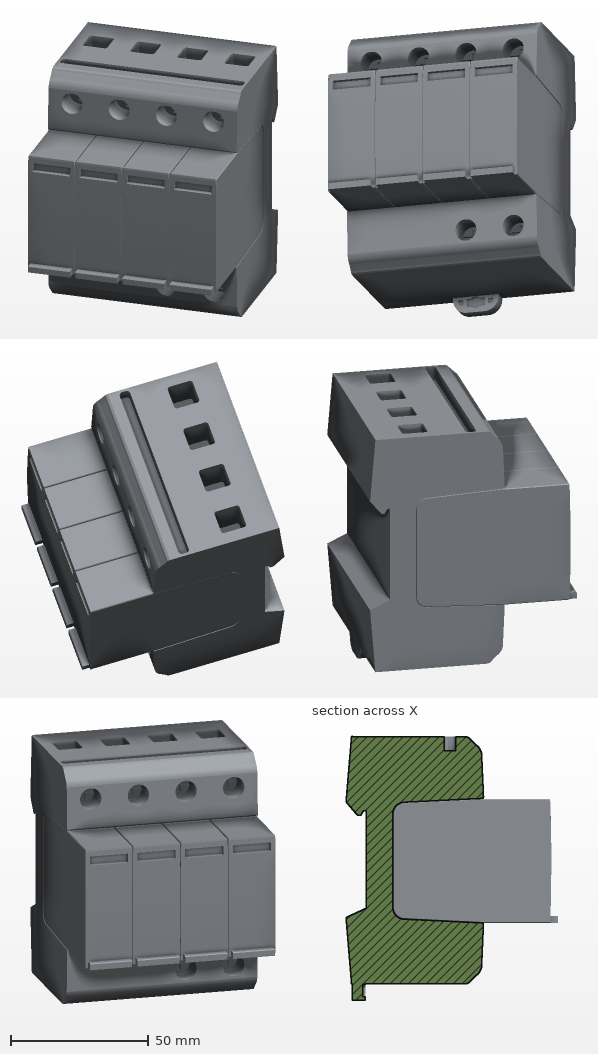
import cadquery as cq
import math


MODULE_COUNT = 4
MODULE_PITCH = 18.0
WIDTH = MODULE_COUNT * MODULE_PITCH
HALF_HEIGHT = 45.0
TOTAL_DEPTH = 77.28

REAR_LIP_HEIGHT = 0.13
REAR_LIP_WIDTH = 0.4
REAR_TOP_DEPTH = 2.0
RAIL_DEPTH = 7.4
HOOK_SHOULDER_Z = 21.3
HOOK_TIP_DEPTH = 4.3
HOOK_TIP_WIDTH = 1.1
HOOK_TIP_Z = 16.2
RAIL_TOP_Z = 18.0
RAIL_BOTTOM_Z = -17.4
FOOT_SHOULDER_Z = -20.8
EASE_START_DEPTH = 43.9
EASE_MID_DEPTH = 44.8
EASE_MID_DROP = 0.35
EASE_END_DEPTH = 45.3
EASE_DROP = 0.95
BEVEL_END_DEPTH = 47.35
BEVEL_DROP = 2.95
ROUND_END_DEPTH = 49.5
ROUND_DROP = 6.2
ROUND_TURN_ANGLE = 45.0
FRONT_DEPTH = 50.2
MOUTH_ROUND = 0.6

RECESS_MID_Z = -0.15
MOUTH_HALF_HEIGHT = 22.6
MODULE_REAR_DEPTH = 17.2
MODULE_REAR_HALF_HEIGHT = 21.0
MODULE_REAR_RADIUS = 4.2
MODULE_TOP_Z = 22.25
MODULE_GAP = 0.2
MODULE_BROW_HEIGHT = 0.7
MODULE_BROW_DEPTH = 0.12
MODULE_CORNER_DEPTH = 74.4
MODULE_FRONT_BULGE = 0.4
MODULE_EDGE_CHAMFER = 0.3
MOUTH_TOP_Z = RECESS_MID_Z + MOUTH_HALF_HEIGHT
MOUTH_BOTTOM_Z = RECESS_MID_Z - MOUTH_HALF_HEIGHT
WINDOW_WIDTH = 14.4
WINDOW_HEIGHT = 3.4
WINDOW_Z = 17.85
WINDOW_DEPTH = 1.8
GRIP_WIDTH = 15.9
GRIP_HEIGHT = 2.5
GRIP_CHAMFER = 0.3
GRIP_ROOT = 2.5

SCREW_HOLE_DIAMETER = 8.0
SCREW_HOLE_DEPTH = 10.0
SCREW_Z = 33.8
SCREW_SLOT_WIDTH = 1.0
SCREW_SLOT_HEIGHT = 5.6
SCREW_SLOT_DEPTH = 1.0
LOWER_TERMINAL_COUNT = 2
WIRE_HOLE_WIDTH = 9.3
WIRE_HOLE_LENGTH = 9.6
WIRE_HOLE_RADIUS = 1.0
WIRE_HOLE_MID_DEPTH = 17.8
WIRE_HOLE_DEPTH = 14.0

TOP_SLOT_LENGTH = 70.0
TOP_SLOT_WIDTH = 4.0
TOP_SLOT_RADIUS = 1.3
TOP_SLOT_MID_DEPTH = 38.0
TOP_SLOT_DEPTH = 5.0

TAB_WIDTH = 17.2
TAB_HEIGHT = 6.1
TAB_RADIUS = 5.2
TAB_REAR_DEPTH = 2.3
TAB_THICKNESS = 4.9
TAB_RECESS_DEPTH = 1.0
TAB_HOLE_Z = -47.4
TAB_HOLE_WIDTH = 7.0
TAB_HOLE_HEIGHT = 3.1
TAB_HOLE_RADIUS = 0.6
TAB_HOLE_ROUND_DIAMETER = 4.4
TAB_SECTOR_RADIUS = 2.1
TAB_SECTOR_FILLET = 0.4
TAB_SECTOR_CORNER_X = 4.7
TAB_SECTOR_CORNER_Z = -46.2

module_centres = [(i - (MODULE_COUNT - 1) / 2) * MODULE_PITCH for i in range(MODULE_COUNT)]


def side_point(depth, z):
    """Point of a YZ sketch, given as depth from the rear and height."""
    return (-depth, z)


def box_at(x, depth, z, width, length, height):
    """Box centred on x and z that starts at the given depth and runs forward by length."""
    return cq.Workplane("XY").box(width, length, height).translate((x, -depth - length / 2, z))


def front_round_mid(sign):
    """Middle point of the round between the bevel and the front face."""
    start = (BEVEL_END_DEPTH, HALF_HEIGHT - BEVEL_DROP)
    end = (ROUND_END_DEPTH, HALF_HEIGHT - ROUND_DROP)
    chord = (end[0] - start[0], end[1] - start[1])
    sagitta_ratio = math.tan(math.radians(ROUND_TURN_ANGLE) / 4) / 2
    mid_depth = (start[0] + end[0]) / 2 - chord[1] * sagitta_ratio
    mid_z = (start[1] + end[1]) / 2 + chord[0] * sagitta_ratio
    return side_point(mid_depth, sign * mid_z)


def make_housing():
    top = HALF_HEIGHT
    mouth_z = MOUTH_TOP_Z + MOUTH_ROUND
    mouth_depth = FRONT_DEPTH - MOUTH_ROUND
    arc_inset = MOUTH_ROUND * (1 - math.sqrt(0.5))
    mouth_mid_depth = FRONT_DEPTH - arc_inset
    mouth_mid_z = MOUTH_TOP_Z + arc_inset
    profile = (
        cq.Workplane("YZ")
        .moveTo(*side_point(REAR_TOP_DEPTH, top + REAR_LIP_HEIGHT))
        .lineTo(*side_point(REAR_TOP_DEPTH + REAR_LIP_WIDTH, top + REAR_LIP_HEIGHT))
        .lineTo(*side_point(REAR_TOP_DEPTH + REAR_LIP_WIDTH, top))
        .lineTo(*side_point(EASE_START_DEPTH, top))
        .lineTo(*side_point(EASE_MID_DEPTH, top - EASE_MID_DROP))
        .lineTo(*side_point(EASE_END_DEPTH, top - EASE_DROP))
        .lineTo(*side_point(BEVEL_END_DEPTH, top - BEVEL_DROP))
        .threePointArc(front_round_mid(1), side_point(ROUND_END_DEPTH, top - ROUND_DROP))
        .lineTo(*side_point(FRONT_DEPTH, mouth_z))
        .threePointArc(side_point(mouth_mid_depth, mouth_mid_z), side_point(mouth_depth, MOUTH_TOP_Z))
        .lineTo(*side_point(mouth_depth, MOUTH_BOTTOM_Z))
        .lineTo(*side_point(FRONT_DEPTH, MOUTH_BOTTOM_Z))
        .lineTo(*side_point(ROUND_END_DEPTH, ROUND_DROP - top))
        .threePointArc(front_round_mid(-1), side_point(BEVEL_END_DEPTH, BEVEL_DROP - top))
        .lineTo(*side_point(EASE_END_DEPTH, EASE_DROP - top))
        .lineTo(*side_point(EASE_MID_DEPTH, EASE_MID_DROP - top))
        .lineTo(*side_point(EASE_START_DEPTH, -top))
        .lineTo(*side_point(REAR_TOP_DEPTH, -top))
        .lineTo(*side_point(0, FOOT_SHOULDER_Z))
        .lineTo(*side_point(RAIL_DEPTH, RAIL_BOTTOM_Z))
        .lineTo(*side_point(RAIL_DEPTH, RAIL_TOP_Z))
        .lineTo(*side_point(HOOK_TIP_DEPTH + 2 * HOOK_TIP_WIDTH, RAIL_TOP_Z))
        .lineTo(*side_point(HOOK_TIP_DEPTH + HOOK_TIP_WIDTH, HOOK_TIP_Z))
        .lineTo(*side_point(HOOK_TIP_DEPTH, HOOK_TIP_Z))
        .lineTo(*side_point(0, HOOK_SHOULDER_Z))
        .close()
    )
    return profile.extrude(WIDTH / 2, both=True)


def module_blank(width):
    """Module body: tapered inside the housing, with a slightly bulged front face."""
    top_step = MOUTH_TOP_Z - MODULE_TOP_Z
    brow_z = MODULE_TOP_Z - MODULE_BROW_HEIGHT
    front_mid_z = (brow_z + MOUTH_BOTTOM_Z) / 2
    blank = (
        cq.Workplane("YZ")
        .moveTo(*side_point(MODULE_REAR_DEPTH, RECESS_MID_Z + MODULE_REAR_HALF_HEIGHT))
        .lineTo(*side_point(FRONT_DEPTH, MOUTH_TOP_Z))
        .lineTo(*side_point(FRONT_DEPTH + top_step, MODULE_TOP_Z))
        .lineTo(*side_point(MODULE_CORNER_DEPTH - MODULE_BROW_DEPTH, MODULE_TOP_Z))
        .lineTo(*side_point(MODULE_CORNER_DEPTH, brow_z))
        .threePointArc(
            side_point(MODULE_CORNER_DEPTH + MODULE_FRONT_BULGE, front_mid_z),
            side_point(MODULE_CORNER_DEPTH, MOUTH_BOTTOM_Z),
        )
        .lineTo(*side_point(FRONT_DEPTH, MOUTH_BOTTOM_Z))
        .lineTo(*side_point(MODULE_REAR_DEPTH, RECESS_MID_Z - MODULE_REAR_HALF_HEIGHT))
        .close()
        .extrude(width / 2, both=True)
    )
    return blank.faces(">Y").edges("|X").fillet(MODULE_REAR_RADIUS)


def make_module():
    module = module_blank(MODULE_PITCH - MODULE_GAP)
    module = module.faces("<X or >X").edges("not <Y").chamfer(MODULE_EDGE_CHAMFER)
    window_start = MODULE_CORNER_DEPTH - WINDOW_DEPTH
    window = box_at(0, window_start, WINDOW_Z, WINDOW_WIDTH, TOTAL_DEPTH - window_start, WINDOW_HEIGHT)
    grip_start = MODULE_CORNER_DEPTH - GRIP_ROOT
    grip_z = MOUTH_BOTTOM_Z + GRIP_HEIGHT / 2
    grip = box_at(0, grip_start, grip_z, GRIP_WIDTH, TOTAL_DEPTH - grip_start, GRIP_HEIGHT)
    grip = grip.faces("<Y").edges(">Z").chamfer(GRIP_CHAMFER)
    return module.cut(window).union(grip)


def make_screw_hole(x, z):
    """Clearance hole down to a screw head with a crossed driver slot."""
    floor = FRONT_DEPTH - SCREW_HOLE_DEPTH
    radius = SCREW_HOLE_DIAMETER / 2
    hole = cq.Workplane("XZ", origin=(x, -floor, z)).circle(radius).extrude(SCREW_HOLE_DEPTH)
    slot_start = floor - SCREW_SLOT_DEPTH
    long_slot = box_at(x, slot_start, z, SCREW_HOLE_DIAMETER, SCREW_SLOT_DEPTH, SCREW_SLOT_WIDTH)
    round_head = cq.Workplane("XZ", origin=(x, -slot_start, z)).circle(radius).extrude(SCREW_SLOT_DEPTH)
    short_slot = box_at(x, slot_start, z, SCREW_SLOT_WIDTH, SCREW_SLOT_DEPTH, SCREW_SLOT_HEIGHT)
    return hole.union(long_slot.intersect(round_head)).union(short_slot)


def make_top_pocket(x, mid_depth, width, length, radius, depth):
    """Rounded rectangular pocket sunk from the top face."""
    pocket = cq.Workplane("XY").box(width, length, depth).edges("|Z").fillet(radius)
    return pocket.translate((x, -mid_depth, HALF_HEIGHT - depth / 2))


def make_tab():
    """Release tab whose front face has one central recess and a quarter-round recess on each side."""
    overlap = TAB_RADIUS
    tab = cq.Workplane("XY").box(TAB_WIDTH, TAB_THICKNESS, TAB_HEIGHT + overlap)
    tab = tab.faces("<Z").edges("|Y").fillet(TAB_RADIUS)
    tab = tab.translate((0, -TAB_REAR_DEPTH - TAB_THICKNESS / 2, (overlap - TAB_HEIGHT) / 2 - HALF_HEIGHT))

    recess_floor = TAB_REAR_DEPTH + TAB_THICKNESS - TAB_RECESS_DEPTH
    recess = box_at(0, recess_floor, TAB_HOLE_Z, TAB_HOLE_WIDTH, TAB_RECESS_DEPTH, TAB_HOLE_HEIGHT)
    recess = recess.edges("|Y").fillet(TAB_HOLE_RADIUS)
    round_recess = (
        cq.Workplane("XZ", origin=(0, -recess_floor, TAB_HOLE_Z))
        .circle(TAB_HOLE_ROUND_DIAMETER / 2)
        .extrude(TAB_RECESS_DEPTH)
    )
    tab = tab.cut(recess).cut(round_recess)

    diagonal = TAB_SECTOR_RADIUS * math.sqrt(0.5)
    for side in (-1, 1):
        sector = (
            cq.Workplane("XZ", origin=(side * TAB_SECTOR_CORNER_X, -recess_floor, TAB_SECTOR_CORNER_Z))
            .lineTo(side * TAB_SECTOR_RADIUS, 0)
            .threePointArc((side * diagonal, -diagonal), (0, -TAB_SECTOR_RADIUS))
            .close()
            .extrude(TAB_RECESS_DEPTH)
            .edges("|Y")
            .fillet(TAB_SECTOR_FILLET)
        )
        tab = tab.cut(sector)
    return tab


housing = make_housing().cut(module_blank(WIDTH))
for centre in module_centres:
    housing = housing.cut(make_screw_hole(centre, SCREW_Z))
    housing = housing.cut(
        make_top_pocket(
            centre, WIRE_HOLE_MID_DEPTH, WIRE_HOLE_WIDTH, WIRE_HOLE_LENGTH, WIRE_HOLE_RADIUS, WIRE_HOLE_DEPTH
        )
    )
for centre in module_centres[-LOWER_TERMINAL_COUNT:]:
    housing = housing.cut(make_screw_hole(centre, -SCREW_Z))
housing = housing.cut(
    make_top_pocket(0, TOP_SLOT_MID_DEPTH, TOP_SLOT_LENGTH, TOP_SLOT_WIDTH, TOP_SLOT_RADIUS, TOP_SLOT_DEPTH)
)

result = housing.union(make_tab())
module = make_module()
for centre in module_centres:
    result = result.union(module.translate((centre, 0, 0)))